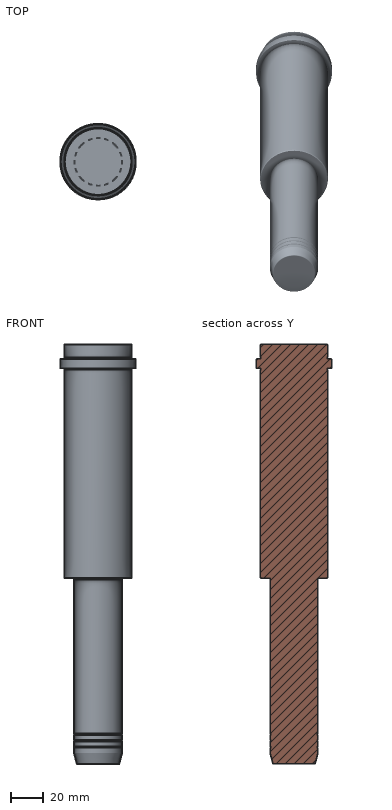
import cadquery as cq
import math

total_length = 260.0
collar_height = 6.0
head_length = 9.0
top_z = collar_height + head_length
bottom_z = top_z - total_length

shank_radius = 42.0 / 2
shank_length = 145.0
shank_end_z = top_z - shank_length
collar_radius = 47.0 / 2
edge_chamfer = 0.5
collar_chamfer = 0.5

pin_radius = 30.0 / 2
tip_length = 7.0
tip_angle = 15.0
tip_fillet = 0.5
tip_radius = pin_radius - tip_length * math.tan(math.radians(tip_angle))

relief_width = 1.0
relief_depth = 0.2

groove_count = 3
groove_pitch = 4.0
groove_width = 1.0
groove_floor_width = 0.5
groove_depth = 0.5
first_groove_height = 10.5

cutter_overlap = 1.0


def revolve_profile(points):
    """Turn a closed (radius, z) outline around the Z axis, starting on the -X side."""
    outline = [(-radius, z) for radius, z in points]
    return cq.Workplane("XZ").polyline(outline).close().revolve(360, (0, 0, 0), (0, 1, 0))


def make_body():
    """Collared shank, guide pin and tip, before any grooves."""
    body = revolve_profile([
        (0, bottom_z),
        (tip_radius, bottom_z),
        (pin_radius, bottom_z + tip_length),
        (pin_radius, shank_end_z),
        (shank_radius - edge_chamfer, shank_end_z),
        (shank_radius, shank_end_z + edge_chamfer),
        (shank_radius, 0),
        (collar_radius, 0),
        (collar_radius, collar_height - collar_chamfer),
        (collar_radius - collar_chamfer, collar_height),
        (shank_radius, collar_height),
        (shank_radius, top_z - edge_chamfer),
        (shank_radius - edge_chamfer, top_z),
        (0, top_z),
    ])
    return body.faces("<Z").edges().fillet(tip_fillet)


def make_groove(surface_radius, middle_z, width, floor_width, depth):
    """Ring cutter for a groove sunk into a cylindrical surface."""
    outer_radius = surface_radius + cutter_overlap
    floor_radius = surface_radius - depth
    return revolve_profile([
        (outer_radius, middle_z - width / 2),
        (surface_radius, middle_z - width / 2),
        (floor_radius, middle_z - floor_width / 2),
        (floor_radius, middle_z + floor_width / 2),
        (surface_radius, middle_z + width / 2),
        (outer_radius, middle_z + width / 2),
    ])


def cut_reliefs(body):
    """Square relief grooves below the shank end and on both sides of the collar."""
    reliefs = [
        (pin_radius, shank_end_z - relief_width / 2),
        (shank_radius, -relief_width / 2),
        (shank_radius, collar_height + relief_width / 2),
    ]
    for surface_radius, middle_z in reliefs:
        body = body.cut(make_groove(surface_radius, middle_z, relief_width, relief_width, relief_depth))
    return body


def cut_lubrication_grooves(body):
    for index in range(groove_count):
        middle_z = bottom_z + first_groove_height + index * groove_pitch
        body = body.cut(make_groove(pin_radius, middle_z, groove_width, groove_floor_width, groove_depth))
    return body


result = cut_lubrication_grooves(cut_reliefs(make_body()))